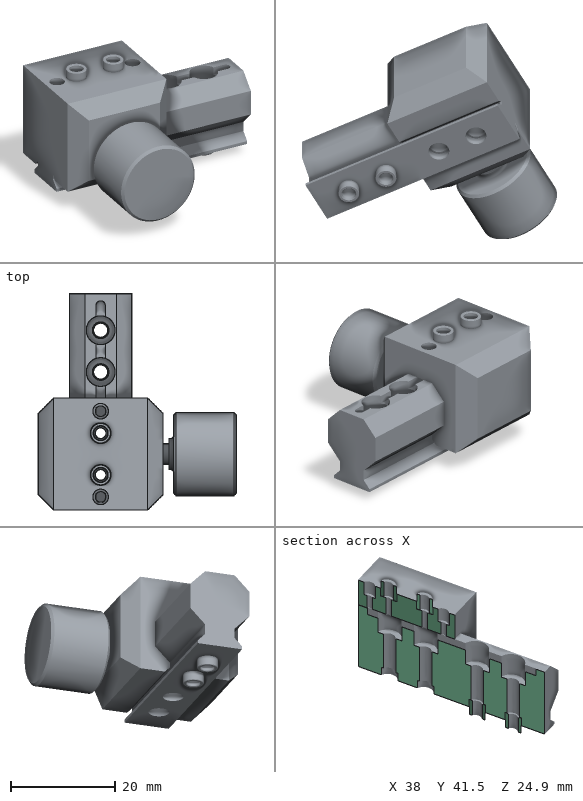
import cadquery as cq


rail_length = 41.5
foot_edge = 0.62
foot_slope = 1.5
neck_width = 6.0
neck_height = 2.0
head_flank = 3.0
head_side = 5.1

neck_half = neck_width / 2
foot_half = neck_half + foot_slope
head_half = neck_half + head_flank
foot_top = foot_edge + foot_slope
head_bottom = foot_top + neck_height
side_bottom = head_bottom + head_flank
side_top = side_bottom + head_side
rail_top = side_top + head_flank

slot_width = 1.8
slot_depth = 1.58
slot_end_gap = 1.35
hole_end_gap = 7.0
hole_pitch = 8.0
screw_head_diameter = 5.5
screw_head_depth = 5.0
screw_shank_diameter = 3.2

slide_width = 24.0
slide_length = 21.5
slide_wall = 5.98
slide_chamfer = 3.0
mouth_chamfer = 1.0
thread_diameter = 2.05
port_diameter = 3.0
port_depth = 3.0
port_offset = 8.2

slide_top = rail_top + slide_wall
slide_middle = slide_length / 2

spindle_diameter = 4.0
spindle_length = 1.08
collar_diameter = 6.0
collar_length = 0.9
collar_fillet = 0.5
knob_diameter = 16.0
knob_length = 12.05
knob_chamfer = 0.5
knob_height = 8.9

sleeve_diameter = 4.0
sleeve_bore = 2.7
sleeve_chamfer = 0.1
sleeve_projection = 1.83
sleeve_seat_depth = sleeve_projection
sleeve_length = sleeve_projection + sleeve_seat_depth

front_holes = [hole_end_gap, hole_end_gap + hole_pitch]
rear_holes = [rail_length - y for y in front_holes]
slide_holes = [slide_middle - hole_pitch / 2, slide_middle + hole_pitch / 2]
slide_ports = [slide_middle - port_offset, slide_middle + port_offset]


def extrude_along_y(half_outline, length):
    """Mirror an outline of (x, z) points about X = 0 and extrude it from Y = 0 towards +Y."""
    other_half = [(-x, z) for x, z in reversed(half_outline)]
    return cq.Workplane("XZ").polyline(half_outline + other_half).close().extrude(-length)


def drill(y_positions, diameter, bottom, top):
    """Upright cylinders on the rail's middle plane, used as cutters."""
    centres = [(0, y) for y in y_positions]
    plane = cq.Workplane("XY").workplane(offset=bottom)
    return plane.pushPoints(centres).circle(diameter / 2).extrude(top - bottom)


def head_outline():
    """Right half of the neck and head, from the top of the foot upwards."""
    return [
        (neck_half, foot_top),
        (neck_half, head_bottom),
        (head_half, side_bottom),
        (head_half, side_top),
        (neck_half, rail_top),
    ]


def make_rail():
    foot_outline = [(foot_half, 0), (foot_half, foot_edge)]
    rail = extrude_along_y(foot_outline + head_outline(), rail_length)

    slot_length = rail_length - 2 * slot_end_gap
    slot = (
        cq.Workplane("XY")
        .workplane(offset=rail_top)
        .center(0, rail_length / 2)
        .slot2D(slot_length, slot_width, 90)
        .extrude(-slot_depth)
    )
    holes = front_holes + rear_holes
    return (
        rail.cut(slot)
        .cut(drill(holes, screw_head_diameter, rail_top - screw_head_depth, rail_top))
        .cut(drill(holes, screw_shank_diameter, 0, rail_top))
        .cut(drill(holes, sleeve_diameter, 0, sleeve_seat_depth))
    )


def make_knob():
    """Spindle, filleted collar and chamfered grip, turned about an axis along X."""

    def turned(start, diameter, length):
        plane = cq.Workplane("YZ", origin=(start, slide_middle, knob_height))
        return plane.circle(diameter / 2).extrude(length)

    spindle_start = slide_width / 2
    collar_start = spindle_start + spindle_length
    grip_start = collar_start + collar_length
    spindle = turned(spindle_start, spindle_diameter, spindle_length)
    collar = turned(collar_start, collar_diameter, collar_length)
    grip = turned(grip_start, knob_diameter, knob_length).edges().chamfer(knob_chamfer)

    smallest_circle = cq.selectors.RadiusNthSelector(0)
    head = grip.union(collar).faces("<X[1]").edges(smallest_circle).fillet(collar_fillet)
    return head.union(spindle)


def make_slide():
    """Chamfered block around the rail's head, made in one piece with the knob."""
    block = (
        cq.Workplane("XY")
        .box(slide_width, slide_length, slide_top - foot_top, centered=(True, False, False))
        .translate((0, 0, foot_top))
        .faces("<X or >X")
        .chamfer(slide_chamfer)
    )
    channel = extrude_along_y(head_outline(), slide_length)
    mouth_outline = [(neck_half + mouth_chamfer, foot_top), (neck_half, foot_top + mouth_chamfer)]
    mouth = extrude_along_y(mouth_outline, slide_length)
    return (
        block.cut(channel)
        .cut(mouth)
        .cut(drill(slide_holes + slide_ports, thread_diameter, rail_top, slide_top))
        .cut(drill(slide_ports, port_diameter, slide_top - port_depth, slide_top))
        .cut(drill(slide_holes, sleeve_diameter, slide_top - sleeve_seat_depth, slide_top))
        .union(make_knob())
    )


def make_sleeve(y, bottom):
    """Upright tube, chamfered inside and outside at both ends."""
    return (
        cq.Workplane("XY", origin=(0, y, bottom))
        .circle(sleeve_diameter / 2)
        .circle(sleeve_bore / 2)
        .extrude(sleeve_length)
        .faces("<Z or >Z")
        .edges()
        .chamfer(sleeve_chamfer)
    )


rail = make_rail()
slide = make_slide()

sleeves = []
for y in slide_holes:
    sleeves.append(make_sleeve(y, slide_top - sleeve_seat_depth))
for y in rear_holes:
    sleeves.append(make_sleeve(y, -sleeve_projection))

result = cq.Compound.makeCompound(
    [rail.val(), slide.val(), *[sleeve.val() for sleeve in sleeves]]
)